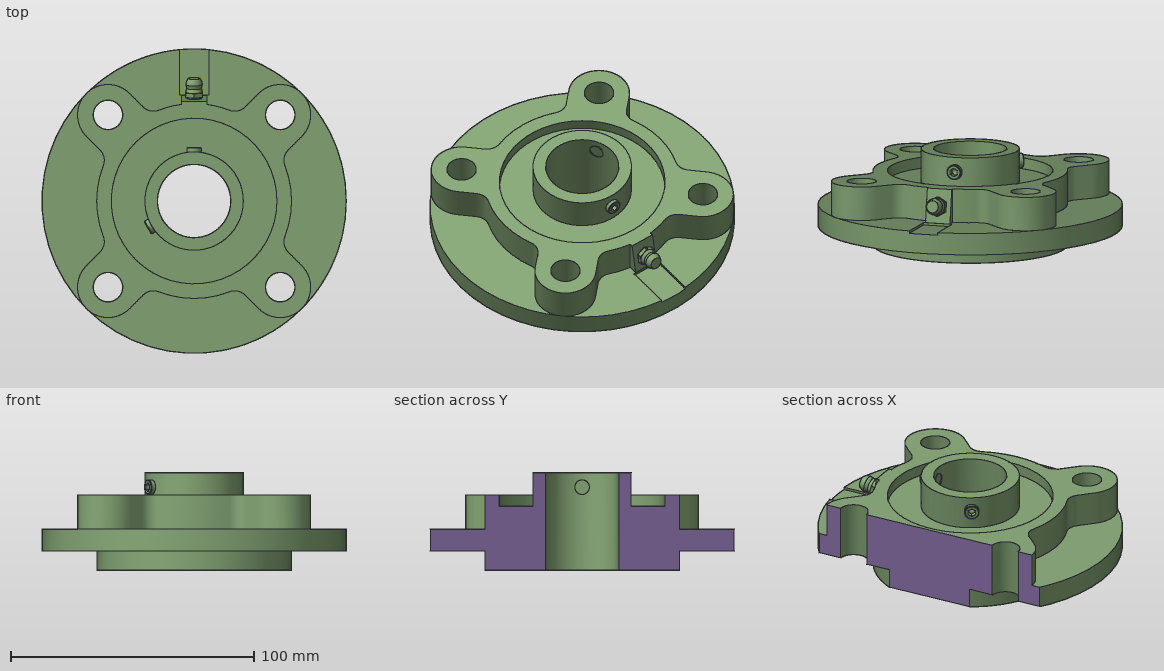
import cadquery as cq
import math


PILOT_HEIGHT = 8.0
FLANGE_TOP = 17.0
BODY_TOP = 31.0
RING_TOP = 40.2
RECESS_FLOOR = 26.4

FLANGE_DIA = 125.0
PILOT_DIA = 80.0
BODY_DIA = 80.0
RECESS_DIA = 68.0
RING_DIA = 40.4
BORE_DIA = 30.0

BOLT_CIRCLE_DIA = 100.0
BOLT_HOLE_DIA = 12.0
LUG_RADIUS = (FLANGE_DIA - BOLT_CIRCLE_DIA) / 2
LUG_ROOT_FILLET = 6.0
LUG_ANGLES = [45, 135, 225, 315]

NIPPLE_TILT = 10.0
SEAT_TOP_Y = 40.9
PAD_WIDTH = 10.5
SLOT_WIDTH = 12.2
SLOT_DEPTH = 1.0
SLOT_END_Y = 43.5

NIPPLE_Z = 23.8
NIPPLE_SHANK_DIA = 6.0
NIPPLE_HEAD_DIA = 6.8
NIPPLE_TIP_DIA = 5.0
NIPPLE_HEX_FLATS = 7.0
HEX_START = 0.6
HEX_TOP = 2.6
HEX_CORNER_CHAMFER = 0.2
NECK_START = 4.15
HEAD_WIDEST = 5.7
NIPPLE_LENGTH = 8.25
HEAD_BULGE = 0.15
ROOT_LENGTH = 2.0

SCREW_DIA = 6.0
SCREW_Z = 34.2
SCREW_HEAD_REACH = 22.0
SCREW_END_GAP = 0.3
SCREW_SOCKET_FLATS = 3.0
SCREW_SOCKET_DEPTH = 2.5
SCREW_SOCKET_CONE_DEPTH = 0.8
SCREW_HEAD_CHAMFER = 0.3
SCREW_ANGLES = [90, 210]


def cylinder(diameter, z_bottom, z_top):
    """Cylinder on the Z axis between two levels."""
    return cq.Workplane("XY").workplane(offset=z_bottom).circle(diameter / 2).extrude(z_top - z_bottom)


def hexagon_diameter(flats):
    """Corner-to-corner size of a hexagon with the given width across flats."""
    return flats / math.cos(math.radians(30))


def make_spider():
    """Raised central body with four parallel-sided lugs blended into it."""
    height = BODY_TOP - FLANGE_TOP
    lug_centre = BOLT_CIRCLE_DIA / 2
    spider = cylinder(BODY_DIA, FLANGE_TOP, BODY_TOP)
    for angle in LUG_ANGLES:
        lug = (
            cq.Workplane("XY")
            .workplane(offset=FLANGE_TOP)
            .moveTo(0, -LUG_RADIUS)
            .lineTo(lug_centre, -LUG_RADIUS)
            .threePointArc((lug_centre + LUG_RADIUS, 0), (lug_centre, LUG_RADIUS))
            .lineTo(0, LUG_RADIUS)
            .close()
            .extrude(height)
            .rotate((0, 0, 0), (0, 0, 1), angle)
        )
        spider = spider.union(lug)
    root_distance = BODY_DIA / 2
    tolerance = 0.1
    root_edges = [
        edge
        for edge in spider.edges("|Z").vals()
        if abs(math.hypot(edge.Center().x, edge.Center().y) - root_distance) < tolerance
    ]
    return spider.newObject(root_edges).fillet(LUG_ROOT_FILLET)


def seat_y(z):
    """Y of the leaning seat face at height z."""
    return SEAT_TOP_Y + (BODY_TOP - z) * math.tan(math.radians(NIPPLE_TILT))


def make_nipple_pad():
    """Block on the +Y side whose outer face leans back at the nipple tilt."""
    inner_y = RECESS_DIA / 2
    return (
        cq.Workplane("YZ")
        .polyline([
            (inner_y, FLANGE_TOP),
            (seat_y(FLANGE_TOP), FLANGE_TOP),
            (SEAT_TOP_Y, BODY_TOP),
            (inner_y, BODY_TOP),
        ])
        .close()
        .extrude(PAD_WIDTH / 2, both=True)
    )


def make_nipple_slot():
    """Cutter for the shallow slot running from the seat to the flange rim."""
    length = FLANGE_DIA / 2 - SLOT_END_Y
    return (
        cq.Workplane("XY")
        .workplane(offset=FLANGE_TOP)
        .center(0, SLOT_END_Y + length / 2)
        .rect(SLOT_WIDTH, length)
        .extrude(-SLOT_DEPTH)
    )


def make_nipple():
    """Grease nipple standing square to the seat face."""
    shank_radius = NIPPLE_SHANK_DIA / 2
    head_radius = NIPPLE_HEAD_DIA / 2
    tip_radius = NIPPLE_TIP_DIA / 2
    flat_radius = NIPPLE_HEX_FLATS / 2
    corner_radius = hexagon_diameter(NIPPLE_HEX_FLATS) / 2
    bulge_point = (
        (head_radius + tip_radius) / 2 + HEAD_BULGE,
        (HEAD_WIDEST + NIPPLE_LENGTH) / 2 + HEAD_BULGE,
    )
    stem = (
        cq.Workplane("XZ")
        .moveTo(0, -ROOT_LENGTH)
        .lineTo(shank_radius, -ROOT_LENGTH)
        .lineTo(shank_radius, HEX_TOP)
        .lineTo(flat_radius, HEX_TOP)
        .lineTo(shank_radius, NECK_START)
        .lineTo(head_radius, HEAD_WIDEST)
        .threePointArc(bulge_point, (tip_radius, NIPPLE_LENGTH))
        .lineTo(0, NIPPLE_LENGTH)
        .close()
        .revolve(360, (0, 0), (0, 1))
    )
    hexagon = (
        cq.Workplane("XY")
        .workplane(offset=HEX_START)
        .polygon(6, hexagon_diameter(NIPPLE_HEX_FLATS))
        .extrude(HEX_TOP - HEX_START)
        .rotate((0, 0, 0), (0, 0, 1), 30)
    )
    hexagon_envelope = (
        cq.Workplane("XZ")
        .moveTo(0, HEX_START)
        .lineTo(corner_radius, HEX_START)
        .lineTo(corner_radius, HEX_TOP - HEX_CORNER_CHAMFER)
        .lineTo(flat_radius, HEX_TOP)
        .lineTo(0, HEX_TOP)
        .close()
        .revolve(360, (0, 0), (0, 1))
    )
    nipple = stem.union(hexagon.intersect(hexagon_envelope))
    return (
        nipple
        .rotate((0, 0, 0), (1, 0, 0), NIPPLE_TILT - 90)
        .translate((0, seat_y(NIPPLE_Z), NIPPLE_Z))
    )


def make_housing():
    """Pilot, flange and lugged body with the bearing recess and bolt holes."""
    pilot = cylinder(PILOT_DIA, 0, PILOT_HEIGHT)
    flange = cylinder(FLANGE_DIA, PILOT_HEIGHT, FLANGE_TOP)
    housing = pilot.union(flange).union(make_spider())
    housing = housing.cut(make_nipple_slot()).union(make_nipple_pad())
    housing = housing.cut(cylinder(RECESS_DIA, RECESS_FLOOR, BODY_TOP))
    bolt_holes = (
        cq.Workplane("XY")
        .polarArray(BOLT_CIRCLE_DIA / 2, LUG_ANGLES[0], 360, len(LUG_ANGLES))
        .circle(BOLT_HOLE_DIA / 2)
        .extrude(BODY_TOP)
    )
    return housing.cut(bolt_holes).union(make_nipple())


def radial_plane(angle, distance):
    """Workplane facing outward from the ring at a set screw."""
    direction = cq.Vector(math.cos(math.radians(angle)), math.sin(math.radians(angle)), 0)
    origin = direction * distance + cq.Vector(0, 0, SCREW_Z)
    return cq.Workplane(cq.Plane(origin=origin, xDir=(0, 0, 1), normal=direction))


def add_set_screw(body, angle):
    """Socket set screw, proud of the ring outside and just short of the bore inside."""
    bore_radius = BORE_DIA / 2
    end_distance = bore_radius + SCREW_END_GAP
    outward = radial_plane(angle, 0).plane.zDir
    screw = (
        radial_plane(angle, end_distance)
        .circle(SCREW_DIA / 2)
        .extrude(SCREW_HEAD_REACH - end_distance)
        .faces(cq.selectors.DirectionMinMaxSelector(outward, True))
        .chamfer(SCREW_HEAD_CHAMFER)
    )
    end_pocket = radial_plane(angle, end_distance).circle(SCREW_DIA / 2).extrude(-bore_radius)
    socket = (
        radial_plane(angle, SCREW_HEAD_REACH)
        .polygon(6, hexagon_diameter(SCREW_SOCKET_FLATS))
        .extrude(-SCREW_SOCKET_DEPTH)
    )
    socket_radius = SCREW_SOCKET_FLATS / 2
    socket_floor = radial_plane(angle, SCREW_HEAD_REACH - SCREW_SOCKET_DEPTH).plane.origin
    socket_cone = cq.Solid.makeCone(socket_radius, 0, SCREW_SOCKET_CONE_DEPTH, socket_floor, -outward)
    return body.union(screw).cut(end_pocket).cut(socket).cut(socket_cone)


inner_ring = cylinder(RING_DIA, RECESS_FLOOR, RING_TOP)
result = make_housing().union(inner_ring).cut(cylinder(BORE_DIA, 0, RING_TOP))
for screw_angle in SCREW_ANGLES:
    result = add_set_screw(result, screw_angle)